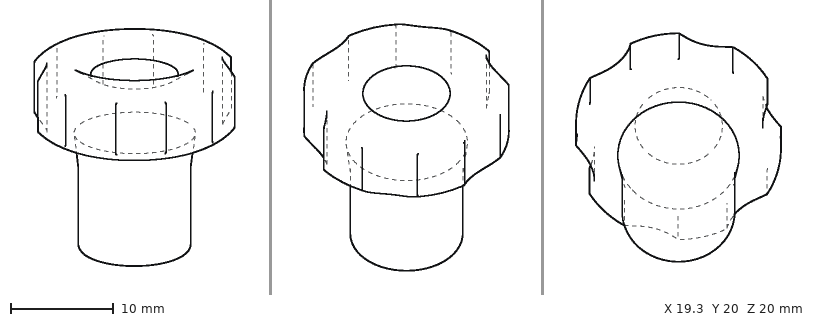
import cadquery as cq
import math

height = 20.0
head_bottom = 12.0
shank_top = 8.52

head_radius = 10.0
crown_radius = 4.0
crown_centre = 6.96
lower_centre_height = 15.9
edge_round = 0.2

flute_count = 6
flute_radius = 4.0
flute_pitch_radius = 12.57

dish_rim_radius = 7.1
dish_floor_radius = 4.26
dish_depth = 1.9
dish_rim_round = 0.2

shank_radius = 5.5
neck_top_radius = 5.92
foot_round = 0.5


def crown_rise(radius):
    """Axial distance of a crown arc from its centre, at a distance from the axis."""
    return math.sqrt(crown_radius**2 - (radius - crown_centre) ** 2)


def head_blank():
    """Solid of revolution with rounded upper and lower shoulders."""
    upper_centre_height = height - crown_radius
    lower_drop = lower_centre_height - head_bottom
    lower_start = crown_centre + math.sqrt(crown_radius**2 - lower_drop**2)
    lower_middle = (lower_start + head_radius) / 2
    upper_middle = (crown_centre + head_radius) / 2
    return (
        cq.Workplane("XZ")
        .moveTo(0, head_bottom)
        .lineTo(lower_start, head_bottom)
        .threePointArc(
            (lower_middle, lower_centre_height - crown_rise(lower_middle)),
            (head_radius, lower_centre_height - crown_rise(head_radius)),
        )
        .lineTo(head_radius, upper_centre_height + crown_rise(head_radius))
        .threePointArc(
            (upper_middle, upper_centre_height + crown_rise(upper_middle)),
            (crown_centre, height),
        )
        .lineTo(0, height)
        .close()
        .revolve(360, (0, 0), (0, 1))
    )


def flutes():
    """Vertical cylinders that scallop the rim, the first one on +X."""
    return (
        cq.Workplane("XY")
        .workplane(offset=head_bottom)
        .polarArray(flute_pitch_radius, 0, 360, flute_count)
        .circle(flute_radius)
        .extrude(height - head_bottom)
    )


def dish():
    """Conical recess with a flat floor."""
    floor = height - dish_depth
    return (
        cq.Workplane("XZ")
        .moveTo(0, floor)
        .lineTo(dish_floor_radius, floor)
        .lineTo(dish_rim_radius, height)
        .lineTo(0, height)
        .close()
        .revolve(360, (0, 0), (0, 1))
    )


def stem():
    """Cylindrical shank with a rounded foot, widening into the neck."""
    shank = cq.Workplane("XY").circle(shank_radius).extrude(shank_top)
    shank = shank.faces("<Z").edges().fillet(foot_round)
    neck = (
        cq.Workplane("XZ")
        .moveTo(0, shank_top)
        .lineTo(shank_radius, shank_top)
        .lineTo(neck_top_radius, head_bottom)
        .lineTo(0, head_bottom)
        .close()
        .revolve(360, (0, 0), (0, 1))
    )
    return shank.union(neck)


head = head_blank().cut(flutes())
head = head.faces("%CYLINDER").edges("not |Z").fillet(edge_round)

head = head.cut(dish())
rim_selector = cq.selectors.BoxSelector(
    (-dish_rim_radius, -dish_rim_radius, height - dish_rim_round),
    (dish_rim_radius, dish_rim_radius, height + dish_rim_round),
)
head = head.edges("%CIRCLE").edges(rim_selector).fillet(dish_rim_round)

result = head.union(stem())